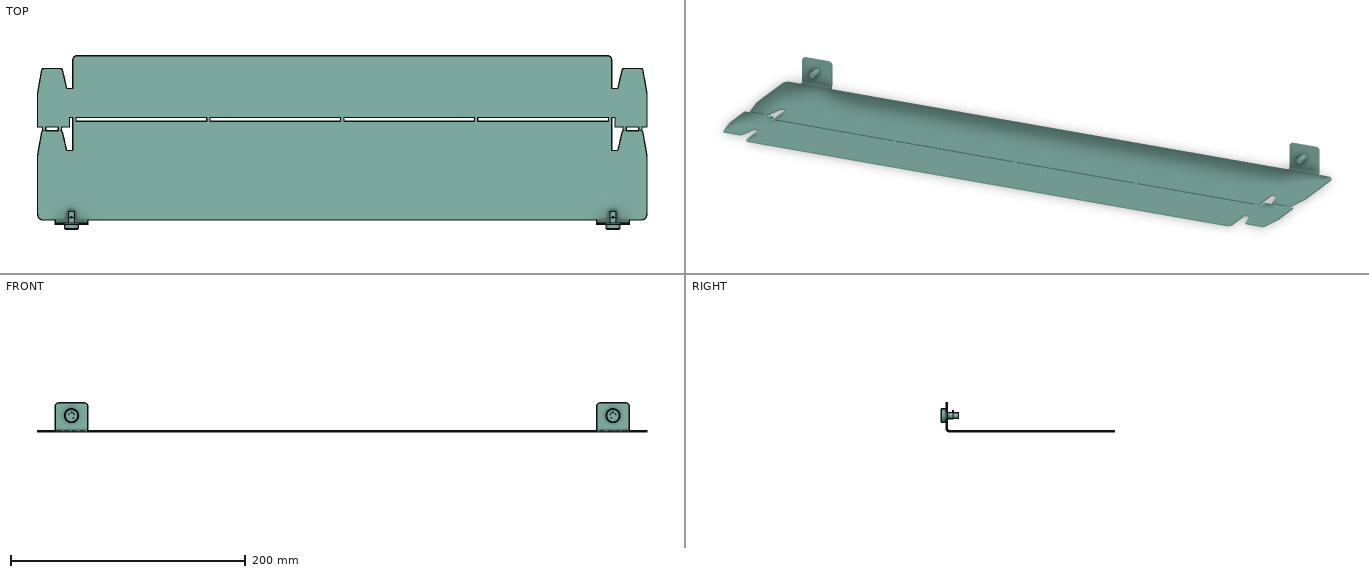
import cadquery as cq
import math

panel_length = 520.0
panel_depth = 144.0
sheet_thickness = 1.25
bend_inner_radius = 2.25
bend_outer_radius = bend_inner_radius + sheet_thickness
front_edge_y = bend_outer_radius

strip_pitch = 53.0
tongue_half_length = 230.0
tongue_corner_radius = 4.0
front_corner_radius = 5.0

ear_top_drop = 11.0
notch_depth = 28.0
ear_tip_outer_inset = 3.7
ear_tip_inner_inset = 21.0
ear_root_inner_inset = 25.0
ear_shoulder_drop = 32.0
ear_tip_radius = 2.0

slot_width = 3.0
bridge_width = 3.0
bridge_count = 5
ear_gap = 3.0
ear_bridge_spacing = 13.5
gap_step_inset = 27.5

flange_offset = 231.0
flange_width = 28.0
flange_height = 25.0
flange_corner_radius = 3.0

fastener_height = 14.0
head_diameter = 12.0
head_length = 4.25
head_chamfer = 0.7
shank_diameter = 5.5
shank_end_y = 11.0
shank_tip_diameter = 5.0
shank_step_y = 6.0
pin_diameter = 1.0
pin_protrusion = 1.5

half_length = panel_length / 2
rear_strip_front_y = panel_depth - strip_pitch
front_strip_rear_y = rear_strip_front_y - slot_width
front_ear_tip_y = rear_strip_front_y - ear_top_drop
rear_ear_front_y = front_ear_tip_y + ear_gap


def ear_side(side, strip_rear_y, tongue_y, strip_front_y):
    """Outline points of one strip end: tongue corner, notch, tapered ear, front corner."""
    tip_y = strip_rear_y - ear_top_drop
    notch_y = strip_rear_y - notch_depth
    end_points = [
        (tongue_half_length, tongue_y),
        (tongue_half_length, notch_y),
        (half_length - ear_root_inner_inset, notch_y),
        (half_length - ear_tip_inner_inset, tip_y),
        (half_length - ear_tip_outer_inset, tip_y),
        (half_length, strip_rear_y - ear_shoulder_drop),
        (half_length, strip_front_y),
    ]
    return [(side * x, y) for x, y in end_points]


def strip_plate(strip_rear_y, tongue_y, strip_front_y):
    """Flat strip with a rear tongue and a tapered ear at either end."""
    right_side = ear_side(1, strip_rear_y, tongue_y, strip_front_y)
    left_side = ear_side(-1, strip_rear_y, tongue_y, strip_front_y)
    outline = right_side + left_side[::-1]
    return cq.Workplane("XY").polyline(outline).close().extrude(sheet_thickness)


def round_ear_tips(plate, tip_y):
    """Round the corners of both ear tips."""
    tip_corners = cq.selectors.BoxSelector(
        (-panel_length, tip_y - ear_tip_radius, -sheet_thickness),
        (panel_length, tip_y + ear_tip_radius, 2 * sheet_thickness),
    )
    return plate.edges("|Z").edges(tip_corners).fillet(ear_tip_radius)


def rear_strip():
    """Rear strip, recessed along its front edge to clear the tongue of the front strip."""
    plate = strip_plate(panel_depth, panel_depth, rear_ear_front_y)
    plate = plate.edges("|Z and >Y").fillet(tongue_corner_radius)
    plate = round_ear_tips(plate, panel_depth - ear_top_drop)
    recess_length = 2 * (half_length - gap_step_inset)
    recess = cq.Workplane("XY").box(
        recess_length, rear_strip_front_y - rear_ear_front_y, sheet_thickness, centered=(True, False, False)
    )
    return plate.cut(recess.translate((0, rear_ear_front_y, 0)))


def front_strip():
    """Front strip, with its tongue shortened by the slot and its front corners rounded."""
    plate = strip_plate(rear_strip_front_y, front_strip_rear_y, front_edge_y)
    plate = plate.edges("|Z and <Y").fillet(front_corner_radius)
    return round_ear_tips(plate, front_ear_tip_y)


def ear_bridges(side):
    """Pair of links from the tip of a front ear to the rear strip."""
    tip_center_inset = (ear_tip_outer_inset + ear_tip_inner_inset) / 2
    return (
        cq.Workplane("XY", origin=(side * (half_length - tip_center_inset), front_ear_tip_y + ear_gap / 2, 0))
        .rarray(ear_bridge_spacing, 1, 2, 1)
        .rect(bridge_width, ear_gap)
        .extrude(sheet_thickness)
    )


def slot_bridges():
    """Evenly spaced links across the slot, the outer two flush with the tongue ends."""
    pitch = (2 * tongue_half_length - bridge_width) / (bridge_count - 1)
    return (
        cq.Workplane("XY", origin=(0, front_strip_rear_y + slot_width / 2, 0))
        .rarray(pitch, 1, bridge_count, 1)
        .rect(bridge_width, slot_width)
        .extrude(sheet_thickness)
    )


def flange(center_x):
    """Upright tab joined to the front edge by a bend."""
    half_bend = math.cos(math.radians(45))
    outer_mid = bend_outer_radius - bend_outer_radius * half_bend
    inner_mid = bend_outer_radius - bend_inner_radius * half_bend
    return (
        cq.Workplane("YZ", origin=(center_x - flange_width / 2, 0, 0))
        .moveTo(front_edge_y, 0)
        .threePointArc((outer_mid, outer_mid), (0, bend_outer_radius))
        .lineTo(0, flange_height)
        .lineTo(sheet_thickness, flange_height)
        .lineTo(sheet_thickness, bend_outer_radius)
        .threePointArc((inner_mid, inner_mid), (front_edge_y, sheet_thickness))
        .close()
        .extrude(flange_width)
        .edges("|Y and >Z")
        .fillet(flange_corner_radius)
    )


def fastener(center_x):
    """Captive fastener: chamfered head in front of the flange, stepped shank with an upright pin behind it."""
    head = (
        cq.Workplane("XZ", origin=(center_x, 0, fastener_height))
        .circle(head_diameter / 2)
        .extrude(head_length)
        .faces("<Y")
        .chamfer(head_chamfer)
    )
    shank = (
        cq.Workplane("XZ", origin=(center_x, 0, fastener_height))
        .circle(shank_diameter / 2)
        .extrude(-shank_step_y)
        .faces(">Y")
        .workplane()
        .circle(shank_tip_diameter / 2)
        .extrude(shank_end_y - shank_step_y)
    )
    pin = (
        cq.Workplane("XY", origin=(center_x, shank_step_y, fastener_height))
        .circle(pin_diameter / 2)
        .extrude(shank_diameter / 2 + pin_protrusion)
    )
    return head.union(shank).union(pin)


result = front_strip().union(rear_strip()).union(slot_bridges())
result = result.union(ear_bridges(-1)).union(ear_bridges(1))
for flange_x in (-flange_offset, flange_offset):
    result = result.union(flange(flange_x)).union(fastener(flange_x))